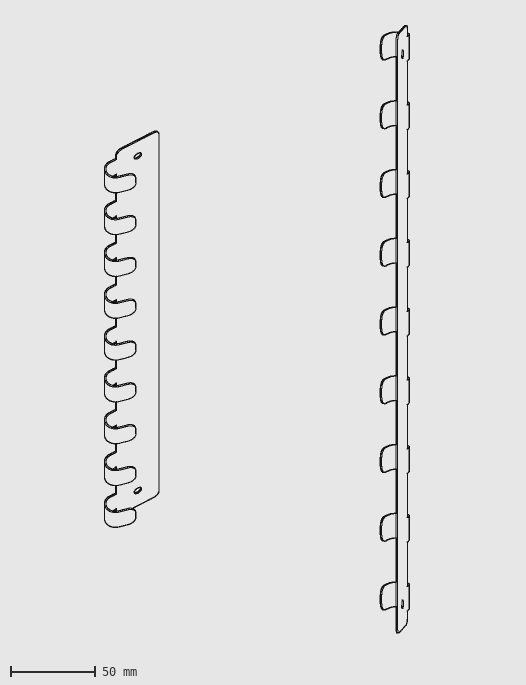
import cadquery as cq
import math

height = 366.0
thickness = 1.0
plate_width = 30.0
total_depth = 41.0
corner_radius = 4.0
hole_diameter = 5.0

hook_count = 9
hook_pitch = 41.98
hook_width = 15.0
hook_reach = 15.7
bend_radius = 6.5
flare_angle = math.radians(15)
tip_radius = 5.0

front_edge = total_depth - plate_width
inner_radius = bend_radius - thickness
flare_sin = math.sin(flare_angle)
flare_cos = math.cos(flare_angle)
arm_length = (hook_reach - bend_radius * (1 + flare_cos)) / flare_sin
first_hook_z = (height - (hook_count - 1) * hook_pitch) / 2
hook_centers = [first_hook_z + i * hook_pitch for i in range(hook_count)]


def bend_point(radius, angle):
    """Point on the bend, with the angle measured from +X about the bend center."""
    return (bend_radius + radius * math.cos(angle), bend_radius + radius * math.sin(angle))


def arm_end(radius):
    """End of the flared arm on the face that is tangent to the given bend radius."""
    x, y = bend_point(radius, -flare_angle)
    return (x + arm_length * flare_sin, y + arm_length * flare_cos)


def make_plate():
    blank = (
        cq.Workplane("XY")
        .box(thickness, plate_width, height, centered=False)
        .translate((0, front_edge, 0))
        .edges("|X")
        .fillet(corner_radius)
    )
    hole_y = front_edge + plate_width / 2
    holes = (
        cq.Workplane("YZ")
        .pushPoints([(hole_y, hook_centers[0]), (hole_y, hook_centers[-1])])
        .circle(hole_diameter / 2)
        .extrude(thickness)
    )
    return blank.cut(holes)


def make_hook():
    """J-shaped hook centered on Z = 0, with rounded corners on its free tip."""
    middle_angle = -(math.pi + flare_angle) / 2
    hook = (
        cq.Workplane("XY")
        .workplane(offset=-hook_width / 2)
        .moveTo(0, front_edge)
        .lineTo(0, bend_radius)
        .threePointArc(bend_point(bend_radius, middle_angle), bend_point(bend_radius, -flare_angle))
        .lineTo(*arm_end(bend_radius))
        .lineTo(*arm_end(inner_radius))
        .lineTo(*bend_point(inner_radius, -flare_angle))
        .threePointArc(bend_point(inner_radius, middle_angle), (thickness, bend_radius))
        .lineTo(thickness, front_edge)
        .close()
        .extrude(hook_width)
    )
    across_arm = cq.Vector(flare_cos, -flare_sin, 0)
    tip_x, tip_y = arm_end((bend_radius + inner_radius) / 2)
    tip_corners = [
        edge
        for edge in hook.edges(cq.selectors.ParallelDirSelector(across_arm)).vals()
        if (edge.Center() - cq.Vector(tip_x, tip_y, edge.Center().z)).Length < thickness / 2
    ]
    return hook.newObject(tip_corners).fillet(tip_radius)


hook = make_hook()
result = make_plate()
for center_z in hook_centers:
    result = result.union(hook.translate((0, 0, center_z)))